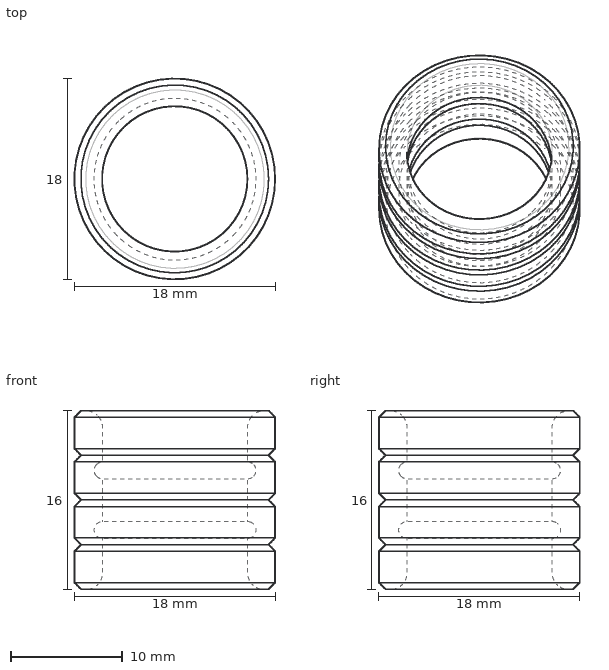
import cadquery as cq

outer_radius = 9.0
height = 16.0
bore_radius = 6.5
lip_radius = 1.5

band_count = 4
chamfer = 0.6
band_height = height / band_count

inner_groove_count = 2
inner_groove_radius = 0.75
inner_groove_pitch = height / (inner_groove_count + 1)


def make_band(index):
    """Solid disc with chamfered rims, stacked by its index."""
    base = cq.Workplane("XY").workplane(offset=index * band_height)
    return base.circle(outer_radius).extrude(band_height).edges().chamfer(chamfer)


def make_bore():
    """Through bore that flares out in a quarter round at each end."""
    mouth_radius = bore_radius + lip_radius
    diagonal = lip_radius * (1 - 0.5 ** 0.5)
    profile = (
        cq.Workplane("XZ")
        .lineTo(mouth_radius, 0)
        .threePointArc((bore_radius + diagonal, diagonal), (bore_radius, lip_radius))
        .lineTo(bore_radius, height - lip_radius)
        .threePointArc((bore_radius + diagonal, height - diagonal), (mouth_radius, height))
        .lineTo(0, height)
        .close()
    )
    return profile.revolve(360, (0, 0), (0, 1))


def make_inner_groove(z):
    """Ring of circular section centred on the bore wall."""
    section = cq.Workplane("XZ").center(bore_radius, z).circle(inner_groove_radius)
    return section.revolve(360, (-bore_radius, 0), (-bore_radius, 1))


body = make_band(0)
for index in range(1, band_count):
    body = body.union(make_band(index))

result = body.cut(make_bore())
for index in range(1, inner_groove_count + 1):
    result = result.cut(make_inner_groove(index * inner_groove_pitch))